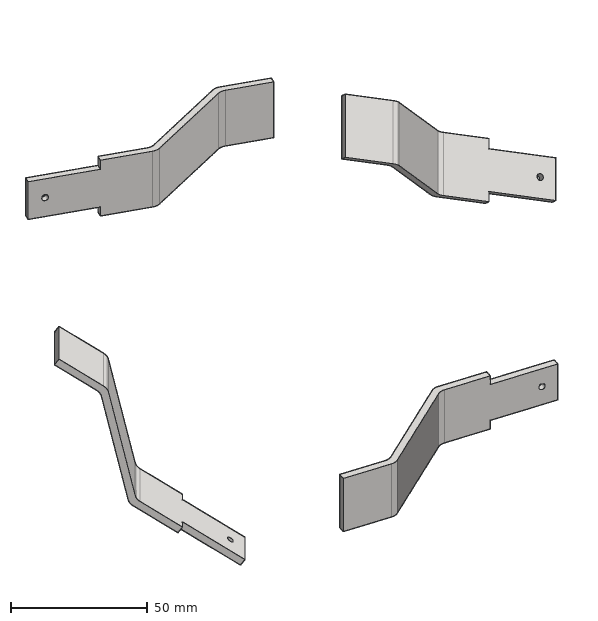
import cadquery as cq

length = 106.0
offset_width = 35.5
height = 24.0
thickness = 3.0

lower_corner_y = 48.8
upper_corner_y = 84.3
bend_radius = 4.5

tab_length = 28.0
tab_height = 16.2
hole_diameter = 2.5
hole_from_end = 6.6

jog = offset_width - thickness
rise = upper_corner_y - lower_corner_y
slope_length = (jog**2 + rise**2) ** 0.5
corner_shift = thickness * (slope_length - rise) / jog


def bent_strip():
    """Full-height strip with two opposite bends and all bend faces rounded alike."""
    outline = [
        (jog, 0),
        (offset_width, 0),
        (offset_width, lower_corner_y + corner_shift),
        (thickness, upper_corner_y + corner_shift),
        (thickness, length),
        (0, length),
        (0, upper_corner_y),
        (jog, lower_corner_y),
    ]
    strip = cq.Workplane("XY").polyline(outline).close().extrude(height)
    bend_zone = cq.selectors.BoxSelector(
        (-thickness, tab_length, 0),
        (offset_width + thickness, length - thickness, height),
    )
    return strip.edges("|Z").edges(bend_zone).fillet(bend_radius)


def tab_notches():
    """Equal blocks above and below the tab."""
    notch_height = (height - tab_height) / 2
    notch = cq.Workplane("XY").box(thickness, tab_length, notch_height, centered=False)
    lower_notch = notch.translate((jog, 0, 0))
    return lower_notch.union(lower_notch.translate((0, 0, height - notch_height)))


def tab_hole():
    """Through hole across the tab, on its mid-height."""
    return (
        cq.Workplane("YZ", origin=(jog, 0, 0))
        .center(hole_from_end, height / 2)
        .circle(hole_diameter / 2)
        .extrude(thickness)
    )


result = bent_strip().cut(tab_notches()).cut(tab_hole())